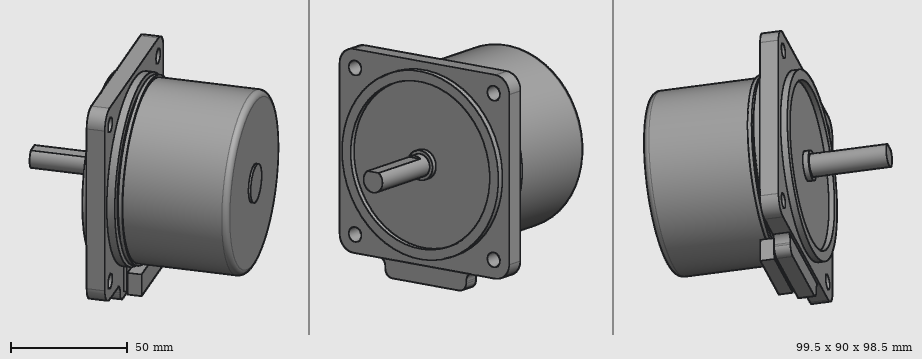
import cadquery as cq


shaft_diameter = 10.0
shaft_radius = shaft_diameter / 2
shaft_tip_x = -37.0
flat_length = 30.0
flat_height = 4.1

flange_size = 90.0
flange_thickness = 8.2
flange_corner_radius = 7.5
hole_spacing = 73.5
hole_diameter = 6.6
pilot_radius = 41.5
pilot_height = 3.0
recess_radius = 36.9
recess_depth = 2.5
collar_radius = 6.6
collar_height = recess_depth
rear_ring_radius = 42.1
rear_ring_end_x = 11.7
neck_radius = 38.5
housing_end_x = 12.2

tab_width = 43.0
tab_front_x = 1.0
tab_drop = 8.5
tab_corner_radius = 3.9
tab_root_radius = 4.4
tab_root_height = 3.8

lip_start_x = 12.9
lip_end_x = 14.7
lip_radius = 41.2
can_radius = 40.2
can_end_x = 61.5
can_edge_radius = 2.8
rear_boss_radius = 8.5
rear_boss_height = 1.0

connector_base_width = 32.6
connector_block_width = 30.6
connector_base_thickness = 1.5
connector_base_bottom_z = -50.5
connector_block_length = 6.3
connector_block_height = 10.2

flange_bottom_z = -flange_size / 2
tab_bottom_z = flange_bottom_z - tab_drop
floor_x = recess_depth - pilot_height


def disc(radius, start_x, end_x):
    """Cylinder on the motor axis between two X positions."""
    return cq.Workplane("YZ", origin=(start_x, 0, 0)).circle(radius).extrude(end_x - start_x)


def cross_box(width, start_x, end_x, bottom_z, top_z):
    """Box centred on Y = 0."""
    return cq.Workplane("XY").box(
        end_x - start_x, width, top_z - bottom_z, centered=(False, True, False)
    ).translate((start_x, 0, bottom_z))


def make_tab():
    """Tab with rounded lower corners and concave roots under the flange."""
    half = tab_width / 2
    thickness = flange_thickness - tab_front_x
    tab = cross_box(tab_width, tab_front_x, flange_thickness, tab_bottom_z, -neck_radius)
    tab = tab.edges("|X and <Z").fillet(tab_corner_radius)
    root_z = flange_bottom_z - tab_root_height
    for side in (-1, 1):
        center_y = side * (half + tab_root_radius)
        root = cross_box(tab_root_radius, tab_front_x, flange_thickness, root_z, root_z + tab_root_radius)
        root = root.translate((0, side * (half + tab_root_radius / 2), 0))
        scoop = (
            cq.Workplane("YZ", origin=(tab_front_x, 0, 0))
            .center(center_y, root_z)
            .circle(tab_root_radius)
            .extrude(thickness)
        )
        tab = tab.union(root.cut(scoop))
    return tab


def make_housing():
    """Square flange with pilot, recess, shaft collar, rear ring, neck and cable tab."""
    flange = cross_box(flange_size, 0, flange_thickness, flange_bottom_z, -flange_bottom_z)
    flange = flange.edges("|X").fillet(flange_corner_radius)
    holes = (
        cq.Workplane("YZ")
        .rect(hole_spacing, hole_spacing, forConstruction=True)
        .vertices()
        .circle(hole_diameter / 2)
        .extrude(flange_thickness)
    )
    housing = flange.union(make_tab()).cut(holes)
    housing = housing.union(disc(pilot_radius, -pilot_height, flange_thickness))
    housing = housing.union(disc(rear_ring_radius, flange_thickness, rear_ring_end_x))
    housing = housing.union(disc(neck_radius, rear_ring_end_x, housing_end_x))
    housing = housing.cut(disc(recess_radius, -pilot_height, floor_x))
    housing = housing.union(disc(collar_radius, floor_x - collar_height, floor_x))
    return housing.cut(disc(shaft_radius, -pilot_height, housing_end_x))


def make_can():
    """Rear can with a front neck, a lip, a rounded rear edge and a rear boss."""
    shell = disc(can_radius, lip_start_x, can_end_x).faces(">X").edges().fillet(can_edge_radius)
    can = shell.union(disc(neck_radius, housing_end_x, lip_end_x))
    can = can.union(disc(lip_radius, lip_start_x, lip_end_x))
    return can.union(disc(rear_boss_radius, can_end_x, can_end_x + rear_boss_height))


def make_shaft():
    """Output shaft with a flat on top, ending against the can."""
    shaft = disc(shaft_radius, shaft_tip_x, housing_end_x)
    flat = cross_box(2 * shaft_radius, shaft_tip_x, shaft_tip_x + flat_length, flat_height, shaft_radius)
    return shaft.cut(flat)


def make_connector():
    """Connector base that meets the rear ring, with a narrower block behind it."""
    block_x = flange_thickness + connector_base_thickness
    block_top_z = -rear_ring_radius
    base = cross_box(
        connector_base_width, flange_thickness, block_x, connector_base_bottom_z, -neck_radius
    )
    base = base.cut(disc(rear_ring_radius, flange_thickness, rear_ring_end_x))
    block = cross_box(
        connector_block_width,
        block_x,
        block_x + connector_block_length,
        block_top_z - connector_block_height,
        block_top_z,
    )
    return base.union(block)


housing = make_housing()
can = make_can()
shaft = make_shaft()
connector = make_connector()

result = cq.Compound.makeCompound([housing.val(), can.val(), shaft.val(), connector.val()])